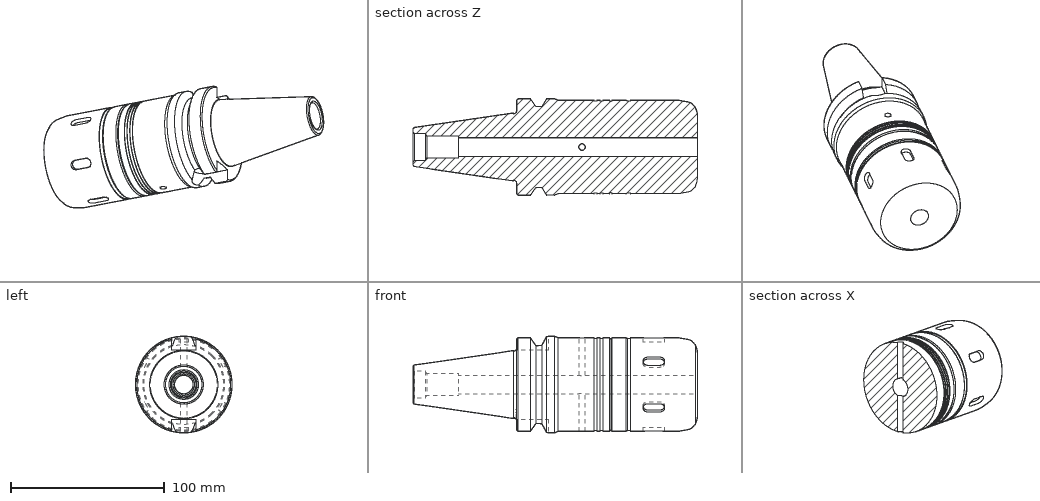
import cadquery as cq
import math

total_length = 185.4
gauge_x = 65.5
flange_x = 67.5
groove_start_x = 76.5
groove_floor_start_x = 80.1
groove_floor_end_x = 84.0
groove_end_x = 87.0
flange_end_x = 92.3
body_x = 94.5
body_end_x = 138.9
nut_x = 141.8
nose_cone_x = 173.2
nose_arc_x = 179.0
nose_chamfer_x = 181.7
nose_face_x = 184.0

taper_small_diameter = 25.5
taper_large_diameter = 44.5
taper_end_diameter = 23.7
neck_diameter = 43.5
flange_diameter = 63.0
groove_diameter = 53.2
body_diameter = 61.0
ring_groove_diameter = 60.0
nose_arc_diameter = 59.0
nose_chamfer_diameter = 56.5
nose_face_diameter = 52.0
end_face_diameter = 39.0

taper_edge = 0.7
flange_chamfer = 1.0
body_end_bevel_length = 0.7
neck_fillet = 1.9
nose_arc_bulge = 0.2
nose_face_bulge = 0.4

ring_groove_starts = (118.0, 121.8)
ring_groove_width = 1.9
vee_groove_x = 128.9
vee_groove_width = 1.9
vee_groove_depth = 0.7

mouth_diameter = 19.3
counterbore_diameter = 17.5
counterbore_depth = 8.3
thread_diameter = 16.0
tapped_bore_diameter = 14.0
tapped_depth = 29.7
through_diameter = 12.0

drive_slot_width = 16.0
drive_slot_end_x = 88.5
drive_slot_floor = 22.6
cross_hole_x = 110.1
cross_hole_diameter = 4.0
wrench_slot_count = 6
wrench_slot_x = 156.8
wrench_slot_length = 14.0
wrench_slot_width = 6.1
wrench_slot_floor = 27.8


def revolve_about_x(points):
    """Solid of revolution from (x, diameter) points, closed along the axis."""
    outline = [(x, diameter / 2) for x, diameter in points]
    outline = [(points[0][0], 0), *outline, (points[-1][0], 0)]
    return cq.Workplane("XY").polyline(outline).close().revolve(360, (0, 0, 0), (1, 0, 0))


def bulged_midpoint(start, end, bulge):
    """Middle point of an arc that rises outwards by bulge above its chord."""
    run = end[0] - start[0]
    rise = end[1] - start[1]
    chord = math.hypot(run, rise)
    return (
        (start[0] + end[0] - 2 * bulge * rise / chord) / 2,
        (start[1] + end[1] + 2 * bulge * run / chord) / 2,
    )


def make_blank():
    """Taper, flange, body and nut as one turned solid."""
    neck_radius = neck_diameter / 2
    flange_radius = flange_diameter / 2
    groove_radius = groove_diameter / 2
    body_radius = body_diameter / 2
    relief_radius = ring_groove_diameter / 2
    nose_arc_start = (nose_arc_x, nose_arc_diameter / 2)
    nose_chamfer_start = (nose_chamfer_x, nose_chamfer_diameter / 2)
    nose_face_start = (nose_face_x, nose_face_diameter / 2)
    nose_face_end = (total_length, end_face_diameter / 2)
    nose_arc_middle = bulged_midpoint(nose_arc_start, nose_chamfer_start, nose_arc_bulge)
    nose_face_middle = bulged_midpoint(nose_face_start, nose_face_end, nose_face_bulge)
    fillet_inset = neck_fillet * (1 - math.sqrt(0.5))
    fillet_middle = (flange_x - fillet_inset, neck_radius + fillet_inset)
    return (
        cq.Workplane("XY")
        .lineTo(0, taper_end_diameter / 2)
        .lineTo(taper_edge, taper_small_diameter / 2)
        .lineTo(gauge_x, taper_large_diameter / 2)
        .lineTo(gauge_x, neck_radius)
        .lineTo(flange_x - neck_fillet, neck_radius)
        .threePointArc(fillet_middle, (flange_x, neck_radius + neck_fillet))
        .lineTo(flange_x, flange_radius - flange_chamfer)
        .lineTo(flange_x + flange_chamfer, flange_radius)
        .lineTo(groove_start_x, flange_radius)
        .lineTo(groove_floor_start_x, groove_radius)
        .lineTo(groove_floor_end_x, groove_radius)
        .lineTo(groove_end_x, flange_radius)
        .lineTo(flange_end_x, flange_radius)
        .lineTo(body_x, body_radius)
        .lineTo(body_end_x, body_radius)
        .lineTo(body_end_x + body_end_bevel_length, relief_radius)
        .lineTo(nut_x, relief_radius)
        .lineTo(nut_x, body_radius)
        .lineTo(nose_cone_x, body_radius)
        .lineTo(*nose_arc_start)
        .threePointArc(nose_arc_middle, nose_chamfer_start)
        .lineTo(*nose_face_start)
        .threePointArc(nose_face_middle, nose_face_end)
        .lineTo(total_length, 0)
        .close()
        .revolve(360, (0, 0, 0), (1, 0, 0))
    )


def make_bore():
    """Stepped hole along the whole axis, with chamfers between the steps."""
    mouth_chamfer = (mouth_diameter - counterbore_diameter) / 2
    thread_chamfer = (thread_diameter - tapped_bore_diameter) / 2
    return revolve_about_x([
        (0, mouth_diameter),
        (mouth_chamfer, counterbore_diameter),
        (counterbore_depth, counterbore_diameter),
        (counterbore_depth, thread_diameter),
        (counterbore_depth + thread_chamfer, tapped_bore_diameter),
        (tapped_depth, tapped_bore_diameter),
        (tapped_depth, through_diameter),
        (total_length, through_diameter),
    ])


def make_ring_groove(start_x):
    """Shallow rectangular groove around the body."""
    return (
        cq.Workplane("YZ", origin=(start_x, 0, 0))
        .circle(flange_diameter / 2)
        .circle(ring_groove_diameter / 2)
        .extrude(ring_groove_width)
    )


def make_vee_groove():
    """V-shaped groove around the body."""
    body_radius = body_diameter / 2
    half_width = vee_groove_width / 2
    return (
        cq.Workplane("XY")
        .polyline([
            (vee_groove_x - half_width, body_radius),
            (vee_groove_x, body_radius - vee_groove_depth),
            (vee_groove_x + half_width, body_radius),
        ])
        .close()
        .revolve(360, (0, 0, 0), (1, 0, 0))
    )


def make_drive_slot():
    """Round-ended slot open towards the taper, on the +Z side of the flange."""
    arc_centre_x = drive_slot_end_x - drive_slot_width / 2
    half_width = drive_slot_width / 2
    return (
        cq.Workplane("XY", origin=(0, 0, drive_slot_floor))
        .moveTo(gauge_x, -half_width)
        .lineTo(arc_centre_x, -half_width)
        .threePointArc((drive_slot_end_x, 0), (arc_centre_x, half_width))
        .lineTo(gauge_x, half_width)
        .close()
        .extrude(flange_diameter / 2)
    )


def make_wrench_slot():
    """Blind round-ended slot along the axis, on the +Z side of the nut."""
    return (
        cq.Workplane("XY", origin=(wrench_slot_x, 0, wrench_slot_floor))
        .slot2D(wrench_slot_length, wrench_slot_width)
        .extrude(body_diameter / 2)
    )


def turn_about_x(shape, angle):
    return shape.rotate((0, 0, 0), (1, 0, 0), angle)


result = make_blank().cut(make_bore()).cut(make_vee_groove())

for start_x in ring_groove_starts:
    result = result.cut(make_ring_groove(start_x))

for angle in (0, 180):
    result = result.cut(turn_about_x(make_drive_slot(), angle))

for index in range(wrench_slot_count):
    result = result.cut(turn_about_x(make_wrench_slot(), index * 360 / wrench_slot_count))

cross_hole = (
    cq.Workplane("XY", origin=(cross_hole_x, 0, 0))
    .circle(cross_hole_diameter / 2)
    .extrude(flange_diameter / 2, both=True)
)
result = result.cut(cross_hole)